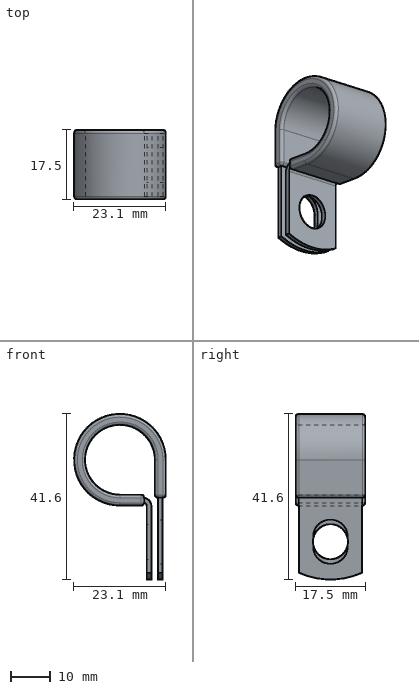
import cadquery as cq
import math


loop_outer_radius = 11.53
loop_inner_radius = 8.73
cushion_thickness = 0.79
cushion_width = 17.46
upper_leg_length = 8.73
lower_leg_length = 5.27
tab_gap = 1.59
bend_inner_radius = 0.95
hole_diameter = 8.73
slot_length = 11.1
hole_center_z = -20.555
hole_to_tab_end = 9.525
tab_end_radius = 19.05

strap_inner_radius = loop_inner_radius + cushion_thickness
strap_outer_radius = loop_outer_radius - cushion_thickness
strap_thickness = strap_outer_radius - strap_inner_radius
strap_width = cushion_width - 2 * cushion_thickness
tab_bottom_z = hole_center_z - hole_to_tab_end
inner_tab_right_x = strap_inner_radius - tab_gap
inner_tab_left_x = inner_tab_right_x - strap_thickness
bend_outer_radius = bend_inner_radius + strap_thickness
bend_center_x = inner_tab_left_x - bend_inner_radius
bend_center_z = -strap_outer_radius - bend_inner_radius


def diagonal_point(center_x, center_z, radius, side_x, side_z):
    """Point on a circle at 45 degrees, on the sides given by the two signs."""
    offset = radius * math.sqrt(0.5)
    return (center_x + side_x * offset, center_z + side_z * offset)


def extrude_across_width(profile, width):
    """Extrude an XZ profile to a width centered on Y = 0."""
    return profile.extrude(width / 2, both=True)


def make_cushion():
    """Three-quarter loop with two straight legs, rounded on every outer edge."""
    right_end_z = -upper_leg_length - cushion_thickness
    lower_end_x = lower_leg_length + cushion_thickness
    profile = (
        cq.Workplane("XZ")
        .moveTo(loop_outer_radius, right_end_z)
        .lineTo(loop_outer_radius, 0)
        .threePointArc(
            diagonal_point(0, 0, loop_outer_radius, -1, 1),
            (0, -loop_outer_radius),
        )
        .lineTo(lower_end_x, -loop_outer_radius)
        .lineTo(lower_end_x, -loop_inner_radius)
        .lineTo(0, -loop_inner_radius)
        .threePointArc(
            diagonal_point(0, 0, loop_inner_radius, -1, 1),
            (loop_inner_radius, 0),
        )
        .lineTo(loop_inner_radius, right_end_z)
        .close()
    )
    body = extrude_across_width(profile, cushion_width)
    lower_end_center = (lower_end_x, 0, -(loop_inner_radius + loop_outer_radius) / 2)
    right_end_center = ((loop_inner_radius + loop_outer_radius) / 2, 0, right_end_z)
    edges = body.faces("|Y").edges()
    for end_center in (lower_end_center, right_end_center):
        end_face = body.faces(cq.selectors.NearestToPointSelector(end_center))
        edges = edges.add(end_face.edges())
    return edges.fillet(cushion_thickness)


def make_strap():
    """Metal strap following the middle of the cushion and ending in two parallel tabs."""
    profile = (
        cq.Workplane("XZ")
        .moveTo(strap_outer_radius, tab_bottom_z)
        .lineTo(strap_outer_radius, 0)
        .threePointArc(
            diagonal_point(0, 0, strap_outer_radius, -1, 1),
            (0, -strap_outer_radius),
        )
        .lineTo(bend_center_x, -strap_outer_radius)
        .threePointArc(
            diagonal_point(bend_center_x, bend_center_z, bend_inner_radius, 1, 1),
            (inner_tab_left_x, bend_center_z),
        )
        .lineTo(inner_tab_left_x, tab_bottom_z)
        .lineTo(inner_tab_right_x, tab_bottom_z)
        .lineTo(inner_tab_right_x, bend_center_z)
        .threePointArc(
            diagonal_point(bend_center_x, bend_center_z, bend_outer_radius, 1, 1),
            (bend_center_x, -strap_inner_radius),
        )
        .lineTo(0, -strap_inner_radius)
        .threePointArc(
            diagonal_point(0, 0, strap_inner_radius, -1, 1),
            (strap_inner_radius, 0),
        )
        .lineTo(strap_inner_radius, tab_bottom_z)
        .close()
    )
    return extrude_across_width(profile, strap_width)


def make_tab_outline():
    """Block whose curved lower end trims both tabs; it covers the whole strap above."""
    half_width = strap_width / 2
    end_sagitta = tab_end_radius - math.sqrt(tab_end_radius**2 - half_width**2)
    corner_z = tab_bottom_z + end_sagitta
    outline = (
        cq.Workplane("YZ")
        .moveTo(-half_width, loop_outer_radius)
        .lineTo(-half_width, corner_z)
        .threePointArc((0, tab_bottom_z), (half_width, corner_z))
        .lineTo(half_width, loop_outer_radius)
        .close()
    )
    return outline.extrude(loop_outer_radius, both=True)


def make_mounting_holes():
    """Round hole in the inner tab and a taller slot, upright along Z, in the outer tab."""
    gap_middle_x = strap_inner_radius - tab_gap / 2
    round_hole = (
        cq.Workplane("YZ")
        .center(0, hole_center_z)
        .circle(hole_diameter / 2)
        .extrude(gap_middle_x)
    )
    slot = (
        cq.Workplane("YZ", origin=(gap_middle_x, 0, 0))
        .center(0, hole_center_z)
        .slot2D(slot_length, hole_diameter, 90)
        .extrude(loop_outer_radius - gap_middle_x)
    )
    return round_hole.union(slot)


strap = make_strap().intersect(make_tab_outline()).cut(make_mounting_holes())
result = make_cushion().union(strap)